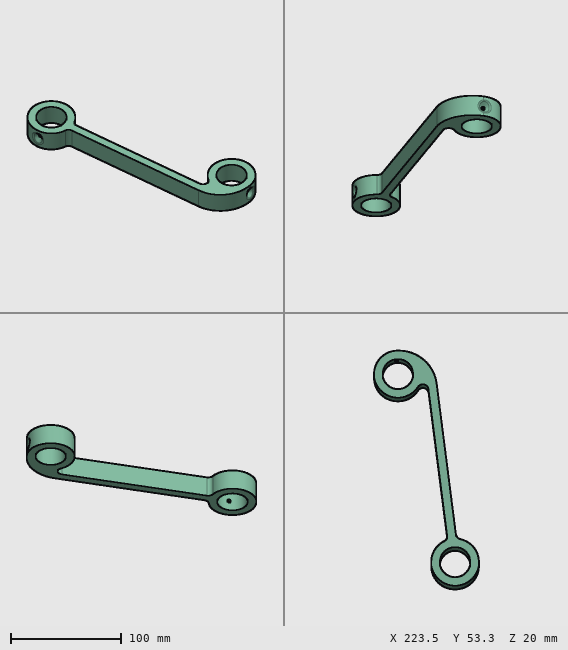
import cadquery as cq
import math

height = 20.0
ring_radius = 21.7
bore_diameter = 27.5
overall_length = 223.5
ring_spacing = overall_length - 2 * ring_radius
arm_width = 8.0
arm_slope = 9.5
heel_radius = 34.9
fillet_radius = 5.1

countersink_diameter = 11.8
rim_fillet = 1.8
screw_tilt = 11
pilot_diameter = 3.1
cutter_overshoot = 2.2

slope = math.radians(arm_slope)
half_width = arm_width / 2
second_ring = (ring_spacing * math.cos(slope), ring_spacing * math.sin(slope))

heel_t = heel_radius - half_width
center_gap = heel_radius - ring_radius
heel_s = second_ring[0] - math.sqrt(center_gap**2 - (second_ring[1] - heel_t) ** 2)

crook_t = half_width + fillet_radius
crook_gap = ring_radius + fillet_radius
crook_s = second_ring[0] - math.sqrt(crook_gap**2 - (second_ring[1] - crook_t) ** 2)


def polar_point(center, radius, angle):
    return (center[0] + radius * math.cos(angle), center[1] + radius * math.sin(angle))


def direction_angle(start, end):
    return math.atan2(end[1] - start[1], end[0] - start[0])


def disc(center, radius):
    return cq.Workplane("XY").center(*center).circle(radius).extrude(height)


def make_arm_and_heel():
    """Straight arm running into the heel and crook arcs, closed at the second ring's center."""
    arm_bottom = -math.pi / 2
    heel = (heel_s, heel_t)
    heel_angle = direction_angle(heel, second_ring)
    crook = (crook_s, crook_t)
    crook_angle = direction_angle(crook, second_ring)
    return (
        cq.Workplane("XY")
        .moveTo(0, -half_width)
        .lineTo(heel_s, -half_width)
        .threePointArc(
            polar_point(heel, heel_radius, (arm_bottom + heel_angle) / 2),
            polar_point(heel, heel_radius, heel_angle),
        )
        .lineTo(*second_ring)
        .lineTo(*polar_point(crook, fillet_radius, crook_angle))
        .threePointArc(
            polar_point(crook, fillet_radius, (arm_bottom + crook_angle) / 2),
            (crook_s, half_width),
        )
        .lineTo(0, half_width)
        .close()
        .extrude(height)
    )


def junction_box(s, t):
    """Selector for the vertical edges near a ring and arm junction."""
    reach = 3.4
    return cq.selectors.BoxSelector((s - reach, t - reach, 0), (s + reach, t + reach, height))


def make_body():
    body = make_arm_and_heel().union(disc((0, 0), ring_radius)).union(disc(second_ring, ring_radius))
    neck_s = math.sqrt(ring_radius**2 - half_width**2)
    for side in (-1, 1):
        body = body.edges(junction_box(neck_s, side * half_width)).edges("|Z").fillet(fillet_radius)
    return body


def countersunk_cutter(center, direction):
    """90 degree cone narrowing inward from the ring's outer face to a pilot that opens into the bore."""
    pilot_radius = pilot_diameter / 2
    cone_end = ring_radius - (countersink_diameter / 2 - pilot_radius)
    cone_top = ring_radius + cutter_overshoot
    profile = (
        cq.Workplane("XY")
        .polyline([
            (0, 0),
            (pilot_radius, 0),
            (pilot_radius, cone_end),
            (pilot_radius + cone_top - cone_end, cone_top),
            (0, cone_top),
        ])
        .close()
        .revolve(360, (0, 0, 0), (0, 1, 0))
        .rotate((0, 0, 0), (1, 0, 0), 90)
    )
    plane = cq.Plane(origin=(*center, height / 2), xDir=(0, 0, 1), normal=direction)
    return profile.val().moved(cq.Location(plane))


def cut_screw_hole(body, center, direction_degrees):
    """Cut a radial screw hole and round its rim on the ring's outer face."""
    angle = math.radians(direction_degrees)
    direction = (math.cos(angle), math.sin(angle), 0)
    drilled = body.cut(cq.Workplane(countersunk_cutter(center, direction)))
    rim_center = (*polar_point(center, ring_radius, angle), height / 2)
    rim = cq.selectors.NearestToPointSelector(rim_center)
    return drilled.edges("not(#Z or |Z)").edges(rim).fillet(rim_fillet)


part = make_body()
for ring_center in ((0, 0), second_ring):
    part = part.cut(disc(ring_center, bore_diameter / 2))

part = cut_screw_hole(part, (0, 0), arm_slope - 90 - screw_tilt)
part = cut_screw_hole(part, second_ring, arm_slope - screw_tilt)

result = part.rotate((0, 0, 0), (0, 0, 1), -arm_slope)